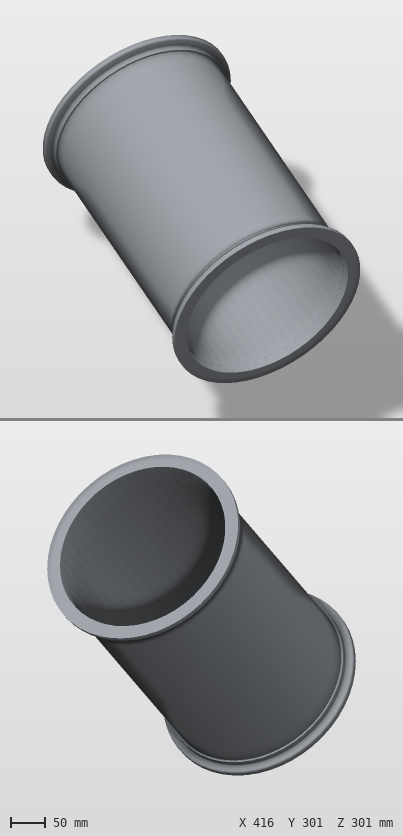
import cadquery as cq
import math

total_length = 416.0
bore_radius = 261.0 / 2
tube_radius = 273.0 / 2
hub_radius = 279.0 / 2
flange_radius = 301.0 / 2

rim_width = 6.2
rim_round = 3.0
taper_angle = 15.0
neck_round = 2.0
flange_length = 20.0
socket_start = 14.0

tube_length = total_length - 2 * socket_start
taper = math.radians(taper_angle)
arc_sweep = math.pi / 2 - taper


def make_tube():
    """Plain tube along X that reaches into the socket of both flanges."""
    return (
        cq.Workplane("YZ")
        .workplane(offset=socket_start)
        .circle(tube_radius)
        .circle(bore_radius)
        .extrude(tube_length)
    )


def make_flange():
    """Ring with a tapered back, a hub and a socket, sealing face at X = 0."""

    def rim_point(angle):
        """Point on the rim round, turned by angle from its start at the rim."""
        return (
            rim_width + rim_round * math.sin(angle),
            flange_radius - rim_round * (1 - math.cos(angle)),
        )

    taper_start = rim_point(arc_sweep)
    neck_start_radius = hub_radius + neck_round * (1 - math.cos(arc_sweep))
    neck_start = taper_start[0] + (taper_start[1] - neck_start_radius) * math.tan(taper)
    neck_end = neck_start + neck_round * math.sin(arc_sweep)

    def neck_point(angle):
        """Point on the neck round, turned by angle from its end at the hub."""
        return (
            neck_end - neck_round * math.sin(angle),
            hub_radius + neck_round * (1 - math.cos(angle)),
        )

    profile = (
        cq.Workplane("XY")
        .moveTo(0, bore_radius)
        .lineTo(0, flange_radius)
        .lineTo(rim_width, flange_radius)
        .threePointArc(rim_point(arc_sweep / 2), taper_start)
        .lineTo(*neck_point(arc_sweep))
        .threePointArc(neck_point(arc_sweep / 2), neck_point(0))
        .lineTo(flange_length, hub_radius)
        .lineTo(flange_length, tube_radius)
        .lineTo(socket_start, tube_radius)
        .lineTo(socket_start, bore_radius)
        .close()
    )
    return profile.revolve(360, (0, 0, 0), (1, 0, 0))


tube = make_tube()

flanges = []
for end_x, turn in ((0, 0), (total_length, 180)):
    flange = make_flange().rotate((0, 0, 0), (0, 0, 1), turn).translate((end_x, 0, 0))
    flanges.append(flange.val())

result = cq.Compound.makeCompound([tube.val(), *flanges])